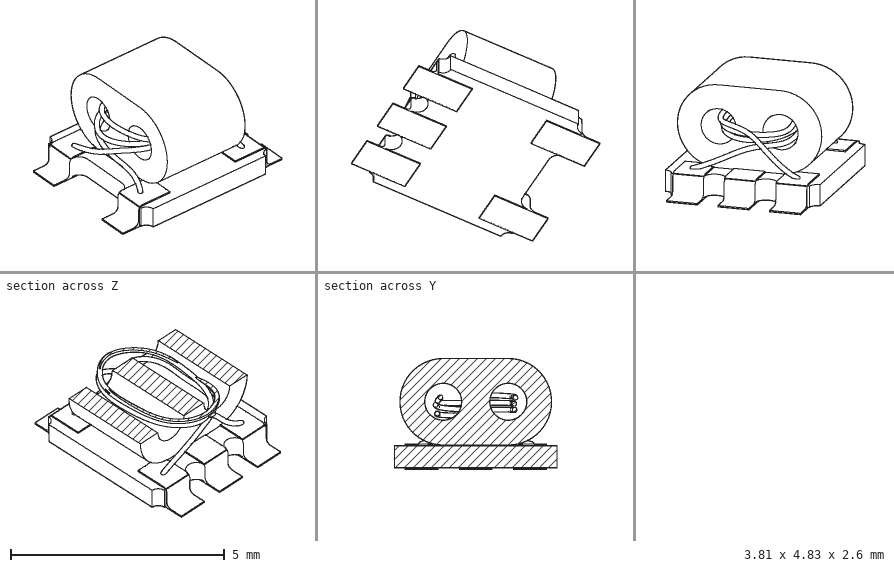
import cadquery as cq
import math

BASE_SIDE = 3.81
BASE_HEIGHT = 0.52
CORNER_NOTCH_R = 0.2
RECESS_DEPTH = 0.305
RECESS_CORNER_R = 0.254

FOIL = 0.035
PAD_WIDTH = 0.762
PAD_PITCH = 1.27
PAD_INNER_Y = 0.99
FOOT_TIP_Y = 4.83 / 2
FOLD_R = 0.14

TOTAL_HEIGHT = 2.6
CORE_R = 1.016
CORE_LENGTH = 2.36
CORE_CENTRE_Y = 0.01
HOLE_OFFSET = 0.762
HOLE_R = 0.43

WIRE_R = 0.06
WIRE_SPANS = 6

BASE_EDGE = BASE_SIDE / 2
BASE_TOP = FOIL + BASE_HEIGHT
PAD_TOP = BASE_TOP + FOIL
PAD_GAP = PAD_PITCH - PAD_WIDTH
RECESS_WIDTH = 2 * PAD_PITCH - PAD_WIDTH
CORE_AXIS_Z = TOTAL_HEIGHT - CORE_R

ARC_45 = math.sqrt(0.5)


def make_base():
    """Square plate with scalloped corners, two round notches and one wide recess."""
    base = cq.Workplane("XY").workplane(offset=FOIL).rect(BASE_SIDE, BASE_SIDE).extrude(BASE_HEIGHT)

    corners = (
        cq.Workplane("XY").workplane(offset=FOIL)
        .rect(BASE_SIDE, BASE_SIDE, forConstruction=True).vertices()
        .circle(CORNER_NOTCH_R).extrude(BASE_HEIGHT)
    )
    notches = (
        cq.Workplane("XY").workplane(offset=FOIL)
        .pushPoints([(side * PAD_PITCH / 2, BASE_EDGE) for side in (-1, 1)])
        .circle(PAD_GAP / 2).extrude(BASE_HEIGHT)
    )
    recess = (
        cq.Workplane("XY").workplane(offset=FOIL)
        .center(0, -BASE_EDGE).rect(RECESS_WIDTH, 2 * RECESS_DEPTH).extrude(BASE_HEIGHT)
        .edges("|Z").fillet(RECESS_CORNER_R)
    )
    return base.cut(corners).cut(notches).cut(recess)


def make_terminal(x, side):
    """Foil clip with a foot, folded over the plate edge on the +Y (side=1) or -Y (side=-1) side.

    The outline follows the outer face of the foil; the space inside the fold is plate material.
    """
    wall = BASE_EDGE + FOIL
    bend_y = wall - FOLD_R
    bend_z = PAD_TOP - FOLD_R
    fillet_y = wall + FOLD_R
    fillet_z = FOIL + FOLD_R
    reach = FOLD_R * ARC_45

    clip = (
        cq.Workplane("YZ", origin=(x - PAD_WIDTH / 2, 0, 0))
        .moveTo(PAD_INNER_Y, 0)
        .lineTo(FOOT_TIP_Y, 0)
        .lineTo(FOOT_TIP_Y, FOIL)
        .lineTo(fillet_y, FOIL)
        .threePointArc((fillet_y - reach, fillet_z - reach), (wall, fillet_z))
        .lineTo(wall, bend_z)
        .threePointArc((bend_y + reach, bend_z + reach), (bend_y, PAD_TOP))
        .lineTo(PAD_INNER_Y, PAD_TOP)
        .close()
        .extrude(PAD_WIDTH)
    )
    if side < 0:
        clip = clip.mirror("XZ")
    return clip


def make_core():
    """Stadium-section ferrite block with two through holes along Y."""
    profile = cq.Workplane("XZ", origin=(0, CORE_CENTRE_Y + CORE_LENGTH / 2, CORE_AXIS_Z))
    body = profile.slot2D(2 * (HOLE_OFFSET + CORE_R), 2 * CORE_R).extrude(CORE_LENGTH)
    holes = profile.pushPoints([(-HOLE_OFFSET, 0), (HOLE_OFFSET, 0)]).circle(HOLE_R).extrude(CORE_LENGTH)
    return body.cut(holes)


def make_wire(points):
    """Round wire swept along a smooth curve through the given points.

    The curve is swept as a chain of equal spans, which keeps each wire face compact.
    """
    curve = cq.Edge.makeSpline([cq.Vector(*point) for point in points])
    start = cq.Plane(origin=points[0], normal=curve.tangentAt(0).toTuple())
    first, last = curve.bounds()
    span = (last - first) / WIRE_SPANS
    spans = [curve.trim(first + i * span, first + (i + 1) * span) for i in range(WIRE_SPANS)]
    axis = cq.Wire.assembleEdges(spans)
    return cq.Workplane(start).circle(WIRE_R).sweep(cq.Workplane(obj=axis))


def make_wire_ends(points):
    """Balls that round off both soldered ends of a wire."""
    return cq.Workplane().pushPoints([points[0], points[-1]]).sphere(WIRE_R)


LONG_WIRE = [
    (-1.28, 1.49, PAD_TOP),
    (-0.90, 1.49, 0.82),
    (-0.45, 1.59, 1.30),
    (-0.11, 1.63, 1.62),
    (0.21, 1.55, 1.72),
    (0.63, 1.24, 1.725),
    (0.93, 0.00, 1.68),
    (0.85, -1.00, 1.66),
    (0.46, -1.29, 1.75),
    (-0.15, -1.38, 1.81),
    (-0.68, -1.13, 1.80),
    (-0.83, 0.00, 1.69),
    (-0.77, 1.18, 1.56),
    (-0.10, 1.49, 1.56),
    (0.56, 1.18, 1.56),
    (0.90, 0.00, 1.54),
    (0.70, -1.18, 1.525),
    (0.00, -1.64, 1.54),
    (-0.73, -1.18, 1.56),
    (-0.94, 0.00, 1.51),
    (-0.58, 1.18, 1.42),
    (0.00, 1.44, 1.40),
    (0.50, 1.18, 1.40),
    (0.91, 0.00, 1.395),
    (0.75, -1.15, 1.385),
    (0.42, -1.50, 1.32),
    (0.11, -1.59, 1.17),
    (-0.38, -1.57, 0.90),
    (-1.22, -1.53, PAD_TOP),
]

SHORT_WIRE = [
    (1.22, -1.53, PAD_TOP),
    (1.00, -1.44, 0.73),
    (0.65, -1.39, 0.84),
    (0.00, -1.43, 0.98),
    (-0.54, -1.37, 1.235),
    (-0.85, -1.00, 1.30),
    (-0.90, 0.00, 1.31),
    (-0.72, 1.15, 1.27),
    (-0.20, 1.40, 1.22),
    (0.53, 1.46, 0.92),
    (1.31, 1.48, PAD_TOP),
]


result = make_base()
for pad_x in (-PAD_PITCH, 0, PAD_PITCH):
    result = result.union(make_terminal(pad_x, 1))
for pad_x in (-PAD_PITCH, PAD_PITCH):
    result = result.union(make_terminal(pad_x, -1))
result = result.union(make_core())
for path in (LONG_WIRE, SHORT_WIRE):
    result = result.union(make_wire_ends(path))
for path in (LONG_WIRE, SHORT_WIRE):
    result = result.union(make_wire(path), clean=False)